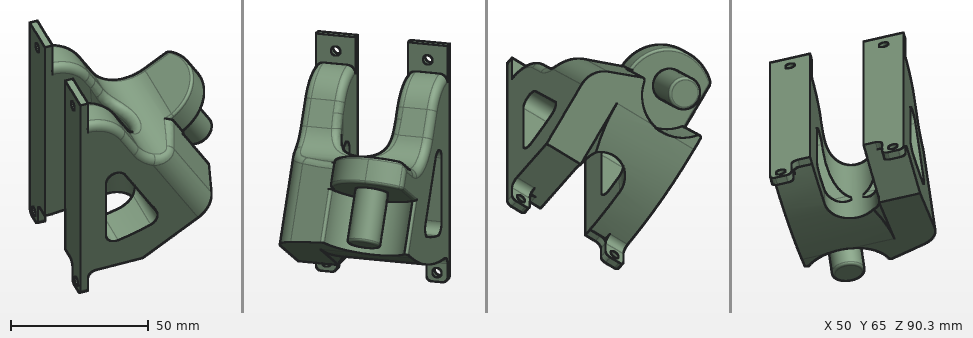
import cadquery as cq
import math

WIDTH = 50.0
HALF_WIDTH = WIDTH / 2
HEIGHT = 90.26
PLATE_THICKNESS = 3.0
BODY_BOTTOM_Z = 10.0
TAB_WIDTH = 8.0
TAB_CORNER_RADIUS = 2.0
TAB_ROOT_RADIUS = 2.5
TAB_BACK_RADIUS = 3.0

SCREW_DIAMETER = 3.5
TOP_SCREW_X = 17.5
TOP_SCREW_Z = HEIGHT - 6.0
TAB_SCREW_X = 21.0
TAB_SCREW_Z = 3.5

ARM_ANGLE = 30.0
ARM_BOTTOM_W = -3.5
ARM_TOP_W = 26.5
SHOULDER_U = 51.0
SHOULDER_TOP_Z = 79.5
SHOULDER_RADIUS = 18.0
SADDLE_RADIUS = 15.0
TOP_EDGE_RADIUS = 3.0

END_WALL_ANGLE = 20.0
END_WALL_START_U = 65.0
END_WALL_CORNER_RADIUS = 9.5

FLANGE_THICKNESS = 10.0
FLANGE_X = -12.0
FLANGE_U = 64.0
FLANGE_RIGHT_RADIUS = 17.0
FLANGE_LEFT_RADIUS = 19.0
FLANGE_RIM_RADIUS = 1.0

BOSS_X = -11.0
BOSS_U = 67.5
BOSS_RADIUS = 6.0
BOSS_EDGE_RADIUS = 1.0
RECESS_RADIUS = 16.3
RECESS_BACK_U = 57.25
RECESS_EDGE_RADIUS = 1.0

SLOT_WIDTH = 20.0
SLOT_TILT = 4.0
SLOT_CENTER_Y = 22.3

BELLY_RADIUS = 96.0
BELLY_END_X = 9.65
BELLY_END_ANGLE = 30.0

WINDOW_WALL = 10.0
WINDOW_CORNER_RADIUS = 4.0

FAR = 100.0
FLANGE_ROOT_U = 56.0
BURIED_U = 61.0
BURIED_X = 3.0
TOP_EDGES_ABOVE_Z = 50.0
TOUCH = 0.01

COS_ARM = math.cos(math.radians(ARM_ANGLE))
SIN_ARM = math.sin(math.radians(ARM_ANGLE))
ARM_PLANE = cq.Plane(origin=(0, 0, 0), xDir=(1, 0, 0), normal=(0, -SIN_ARM, COS_ARM))
FLANGE_RIGHT_X = FLANGE_X + FLANGE_RIGHT_RADIUS
FLANGE_TIP_U = FLANGE_U + FLANGE_RIGHT_RADIUS
FLANGE_BOTTOM_W = ARM_TOP_W - FLANGE_THICKNESS
KNEE_Y = (BODY_BOTTOM_Z * COS_ARM - ARM_BOTTOM_W) / SIN_ARM
BELLY_Y = KNEE_Y - BELLY_RADIUS * math.tan(math.radians(ARM_ANGLE / 2))
BELLY_Z = BODY_BOTTOM_Z + BELLY_RADIUS


def polar(center, radius, degrees):
    """Point on a circle."""
    angle = math.radians(degrees)
    return (center[0] + radius * math.cos(angle), center[1] + radius * math.sin(angle))


def arm_point(u, w):
    """(Y, Z) of a point given along and across the arm."""
    return (u * COS_ARM - w * SIN_ARM, u * SIN_ARM + w * COS_ARM)


def side_sketch(x=-HALF_WIDTH):
    """Workplane for (Y, Z) outlines that extrude towards +X."""
    return cq.Workplane("YZ", origin=(x, 0, 0))


def arm_sketch(w):
    """Workplane for (x, u) outlines that extrude up across the arm."""
    return cq.Workplane(ARM_PLANE).workplane(offset=w)


def near_arm_point(x, u, w):
    """Selector for whatever lies nearest a point in arm coordinates."""
    return cq.NearestToPointSelector(ARM_PLANE.toWorldCoords((x, u, w)))


def arm_middle(edge):
    """Middle of an edge in arm coordinates (x, u, w)."""
    return ARM_PLANE.toLocalCoords(edge.positionAt(0.5))


def end_wall_u(x):
    return END_WALL_START_U - (x - FLANGE_RIGHT_X) * math.tan(math.radians(END_WALL_ANGLE))


def belly_height(y, radius):
    """Z on the underside of an arc that shares the belly's center."""
    return BELLY_Z - math.sqrt(radius**2 - (y - BELLY_Y) ** 2)


def side_prism():
    """Side shape before the belly is rounded, over the full width."""
    shoulder_z = SHOULDER_TOP_Z - SHOULDER_RADIUS
    shoulder_y = (SHOULDER_U - SHOULDER_RADIUS - shoulder_z * SIN_ARM) / COS_ARM
    shoulder = (shoulder_y, shoulder_z)
    saddle_u = SHOULDER_U + SADDLE_RADIUS
    saddle_w = ARM_TOP_W + SADDLE_RADIUS
    saddle_middle = polar(arm_point(saddle_u, saddle_w), SADDLE_RADIUS, ARM_ANGLE - 135)
    return (
        side_sketch()
        .moveTo(0, BODY_BOTTOM_Z)
        .lineTo(KNEE_Y, BODY_BOTTOM_Z)
        .lineTo(*arm_point(FAR, ARM_BOTTOM_W))
        .lineTo(*arm_point(FAR, ARM_TOP_W))
        .lineTo(*arm_point(saddle_u, ARM_TOP_W))
        .threePointArc(saddle_middle, arm_point(SHOULDER_U, saddle_w))
        .lineTo(*polar(shoulder, SHOULDER_RADIUS, ARM_ANGLE))
        .threePointArc(
            polar(shoulder, SHOULDER_RADIUS, (ARM_ANGLE + 90) / 2),
            polar(shoulder, SHOULDER_RADIUS, 90),
        )
        .lineTo(0, SHOULDER_TOP_Z)
        .close()
        .extrude(WIDTH)
    )


def leg_prism():
    """Outline of the legs and the end wall; its left end stays inside the flange."""
    return (
        arm_sketch(-FAR)
        .moveTo(-HALF_WIDTH, -FAR)
        .lineTo(-HALF_WIDTH, BURIED_U)
        .lineTo(BOSS_X, BURIED_U)
        .lineTo(BURIED_X, end_wall_u(BURIED_X))
        .lineTo(HALF_WIDTH, end_wall_u(HALF_WIDTH))
        .lineTo(HALF_WIDTH, -FAR)
        .close()
        .extrude(3 * FAR)
        .edges(near_arm_point(HALF_WIDTH, end_wall_u(HALF_WIDTH), 0))
        .fillet(END_WALL_CORNER_RADIUS)
    )


def flange_prism():
    """Outline of the flange, swept across the arm."""
    right_center = (FLANGE_X, FLANGE_U)
    left_center = (FLANGE_X, FLANGE_TIP_U - FLANGE_LEFT_RADIUS)
    left_angle = math.degrees(math.acos((-HALF_WIDTH - FLANGE_X) / FLANGE_LEFT_RADIUS))
    return (
        arm_sketch(-FAR)
        .moveTo(-HALF_WIDTH, FLANGE_ROOT_U)
        .lineTo(*polar(left_center, FLANGE_LEFT_RADIUS, left_angle))
        .threePointArc(
            polar(left_center, FLANGE_LEFT_RADIUS, (left_angle + 90) / 2),
            (FLANGE_X, FLANGE_TIP_U),
        )
        .threePointArc(
            polar(right_center, FLANGE_RIGHT_RADIUS, 45), (FLANGE_RIGHT_X, FLANGE_U)
        )
        .lineTo(FLANGE_RIGHT_X, FLANGE_ROOT_U)
        .close()
        .extrude(3 * FAR)
    )


def make_slot():
    """U-shaped cutter, open towards the plates."""
    tilt = math.radians(SLOT_TILT)
    plane = cq.Plane(
        origin=(0, SLOT_CENTER_Y, 0),
        xDir=(1, 0, 0),
        normal=(0, -math.sin(tilt), math.cos(tilt)),
    )
    radius = SLOT_WIDTH / 2
    return (
        cq.Workplane(plane)
        .moveTo(-radius, -FAR)
        .lineTo(-radius, 0)
        .threePointArc((0, radius), (radius, 0))
        .lineTo(radius, -FAR)
        .close()
        .extrude(FAR)
    )


def top_edges(solid):
    """Edges that border the top surface, without the lines straight across it."""
    chosen = []
    for edge in solid.edges().vals():
        middle = edge.positionAt(0.5)
        runs_across = abs(edge.tangentAt(0.5).x) > 1 - TOUCH
        in_front = middle.y > TOUCH
        above = middle.z > TOP_EDGES_ABOVE_Z and arm_middle(edge).z > FLANGE_BOTTOM_W
        if above and in_front and not runs_across:
            chosen.append(edge)
    return chosen


def make_legs():
    """Legs and end wall with the slot cut and the top edges rounded."""
    legs = side_prism().intersect(leg_prism()).cut(make_slot())
    rounded = []
    for edge in top_edges(legs):
        middle = arm_middle(edge)
        on_side = middle.x < -HALF_WIDTH + TOUCH
        buried = middle.x < BURIED_X and middle.y > FLANGE_ROOT_U and not on_side
        if not buried:
            rounded.append(edge)
    return legs.newObject(rounded).fillet(TOP_EDGE_RADIUS)


def make_flange():
    """Flange with a rounded left side and a finer rounding along its rim."""
    flange = side_prism().intersect(flange_prism())
    left_side = []
    for edge in flange.edges().vals():
        middle = arm_middle(edge)
        on_left = middle.x < -HALF_WIDTH + TOUCH
        is_root = middle.y < FLANGE_ROOT_U + TOUCH
        is_bottom = middle.z < ARM_BOTTOM_W + TOUCH
        if on_left and not is_root and not is_bottom:
            left_side.append(edge)
    flange = flange.newObject(left_side).fillet(TOP_EDGE_RADIUS)
    right_of_side = -HALF_WIDTH + 2 * TOP_EDGE_RADIUS
    rim = [edge for edge in top_edges(flange) if arm_middle(edge).x > right_of_side]
    return flange.newObject(rim).fillet(FLANGE_RIM_RADIUS)


def make_recess():
    """Cutter for the space under the flange, round at its right end."""
    depth = 2 * (FLANGE_BOTTOM_W - ARM_BOTTOM_W)
    left_part = (
        arm_sketch(FLANGE_BOTTOM_W)
        .moveTo(-WIDTH, RECESS_BACK_U)
        .lineTo(BOSS_X, RECESS_BACK_U)
        .lineTo(BOSS_X, FAR)
        .lineTo(-WIDTH, FAR)
        .close()
        .extrude(-depth)
    )
    round_part = (
        arm_sketch(FLANGE_BOTTOM_W)
        .center(BOSS_X, BOSS_U)
        .circle(RECESS_RADIUS)
        .extrude(-depth)
    )
    return left_part.union(round_part)


def round_recess_edges(body):
    """Round the recess where it opens onto the left side and the end wall."""
    middle_w = (FLANGE_BOTTOM_W + ARM_BOTTOM_W) / 2
    edge_places = [
        (-HALF_WIDTH, RECESS_BACK_U, middle_w),
        (-HALF_WIDTH, BOSS_U, FLANGE_BOTTOM_W),
        (FLANGE_RIGHT_X, END_WALL_START_U, middle_w),
    ]
    for place in edge_places:
        body = body.edges(near_arm_point(*place)).fillet(RECESS_EDGE_RADIUS)
    return body


def make_boss():
    """Boss that ends level with the underside of the arm and is rooted in the flange."""
    root_w = (FLANGE_BOTTOM_W + ARM_TOP_W) / 2
    return (
        arm_sketch(ARM_BOTTOM_W)
        .center(BOSS_X, BOSS_U)
        .circle(BOSS_RADIUS)
        .extrude(root_w - ARM_BOTTOM_W)
        .faces(near_arm_point(BOSS_X, BOSS_U, ARM_BOTTOM_W))
        .edges()
        .fillet(BOSS_EDGE_RADIUS)
    )


def make_belly():
    """Cutter that rounds the underside, limited on the right by a sloping plane."""
    center = (BELLY_Y, BELLY_Z)
    rounding = (
        side_sketch()
        .moveTo(BELLY_Y, BODY_BOTTOM_Z)
        .threePointArc(
            polar(center, BELLY_RADIUS, ARM_ANGLE / 2 - 90),
            polar(center, BELLY_RADIUS, ARM_ANGLE - 90),
        )
        .lineTo(KNEE_Y, BODY_BOTTOM_Z)
        .close()
        .extrude(WIDTH)
    )
    slope_run = BELLY_END_X + WIDTH
    slope_rise = slope_run * math.tan(math.radians(BELLY_END_ANGLE))
    across_arm = cq.Plane(origin=(0, 0, 0), xDir=(1, 0, 0), normal=(0, -COS_ARM, -SIN_ARM))
    limit = (
        cq.Workplane(across_arm)
        .moveTo(BELLY_END_X, ARM_BOTTOM_W)
        .lineTo(BELLY_END_X, -FAR)
        .lineTo(-WIDTH, -FAR)
        .lineTo(-WIDTH, ARM_BOTTOM_W + slope_rise)
        .close()
        .extrude(FAR, both=True)
    )
    return rounding.intersect(limit)


def make_window():
    """Cutter whose sides keep a constant wall to the shoulder slope and the belly."""
    radius = BELLY_RADIUS - WINDOW_WALL
    slope_u = SHOULDER_U - WINDOW_WALL
    front_y = WINDOW_WALL
    top_z = (slope_u - front_y * COS_ARM) / SIN_ARM
    belly_u = BELLY_Y * COS_ARM + BELLY_Z * SIN_ARM
    belly_w = BELLY_Z * COS_ARM - BELLY_Y * SIN_ARM
    back = arm_point(slope_u, belly_w - math.sqrt(radius**2 - (slope_u - belly_u) ** 2))
    middle_y = (front_y + back[0]) / 2
    return (
        side_sketch()
        .moveTo(front_y, top_z)
        .lineTo(front_y, belly_height(front_y, radius))
        .threePointArc((middle_y, belly_height(middle_y, radius)), back)
        .close()
        .extrude(WIDTH)
        .edges("|X")
        .fillet(WINDOW_CORNER_RADIUS)
    )


def make_plate(side):
    """Mounting plate of one leg; side is -1 on the left and +1 on the right."""
    outer_x = side * HALF_WIDTH
    inner_x = side * SLOT_WIDTH / 2
    tab_x = side * (HALF_WIDTH - TAB_WIDTH)
    plate = (
        cq.Workplane("XZ")
        .moveTo(outer_x, 0)
        .lineTo(outer_x, HEIGHT)
        .lineTo(inner_x, HEIGHT)
        .lineTo(inner_x, BODY_BOTTOM_Z)
        .lineTo(tab_x, BODY_BOTTOM_Z)
        .lineTo(tab_x, 0)
        .close()
        .extrude(-PLATE_THICKNESS)
    )
    plate = plate.edges("|Y").edges("<Z").fillet(TAB_CORNER_RADIUS)
    tab_root = cq.NearestToPointSelector((tab_x, PLATE_THICKNESS / 2, BODY_BOTTOM_Z))
    plate = plate.edges(tab_root).fillet(TAB_ROOT_RADIUS)
    screw_places = [
        (side * TOP_SCREW_X, TOP_SCREW_Z),
        (side * TAB_SCREW_X, TAB_SCREW_Z),
    ]
    screws = (
        cq.Workplane("XZ")
        .pushPoints(screw_places)
        .circle(SCREW_DIAMETER / 2)
        .extrude(-PLATE_THICKNESS)
    )
    return plate.cut(screws)


def make_tab_fillet(side, underside_z):
    """Concave fillet between the back of a tab and the underside of its leg."""
    left_x = -HALF_WIDTH if side < 0 else HALF_WIDTH - TAB_WIDTH
    end_y = PLATE_THICKNESS + TAB_BACK_RADIUS
    start_z = underside_z - TAB_BACK_RADIUS
    buried_z = underside_z + 1
    return (
        side_sketch(left_x)
        .moveTo(0, start_z)
        .lineTo(PLATE_THICKNESS, start_z)
        .threePointArc(
            polar((end_y, start_z), TAB_BACK_RADIUS, 135), (end_y, underside_z)
        )
        .lineTo(end_y, buried_z)
        .lineTo(0, buried_z)
        .close()
        .extrude(TAB_WIDTH)
    )


def make_part():
    body = make_legs().union(make_flange()).cut(make_recess())
    body = round_recess_edges(body).union(make_boss())
    body = body.cut(make_belly()).cut(make_window())
    left_underside_z = belly_height(PLATE_THICKNESS + TAB_BACK_RADIUS, BELLY_RADIUS)
    for side, underside_z in ((-1, left_underside_z), (1, BODY_BOTTOM_Z)):
        body = body.union(make_plate(side))
        body = body.union(make_tab_fillet(side, underside_z))
    return body


result = make_part()